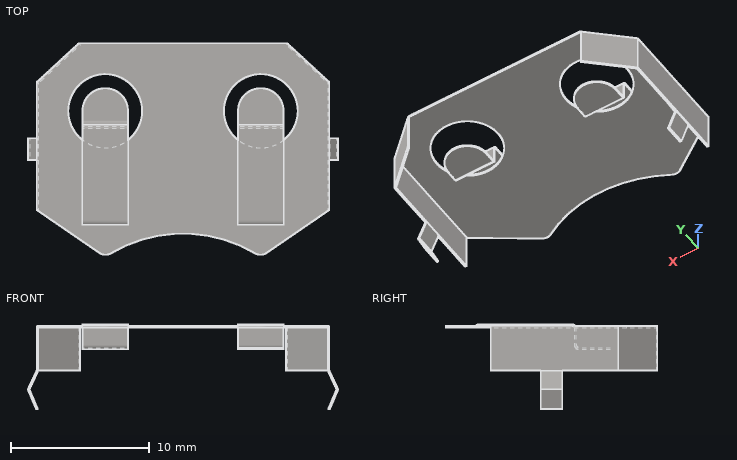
import cadquery as cq
import math

sheet = 0.127
depth = 15.24
leg_span = 22.35
plate_width = 21.08
back_edge_width = 15.0
corner_depth = 2.81
side_wall_end = 12.0

lobe_x = 5.6
lobe_point_y = -7.77
lobe_radius = 0.76
recess_depth = 1.53

wall_height = 3.22
bend_radius = 0.12

leg_width = 1.58
overall_height = 6.12
knee_drop = 1.36
foot_inset = 0.6

hole_diameter = 5.3
hole_y = 2.74

strap_width = 3.3
strap_front_y = -5.46
strap_bend_radius = 0.3
strap_front_radius = strap_bend_radius + sheet
drop_face_y = 1.76
tongue_bottom = -1.69

half_width = plate_width / 2
half_back = back_edge_width / 2
rear_y = depth / 2
corner_y = rear_y - corner_depth
front_corner_y = rear_y - side_wall_end
recess_y = -rear_y + recess_depth


def make_plate():
    """Flat plate with cut rear corners, two front lobes and two round holes."""
    plate = (
        cq.Workplane("XY")
        .moveTo(-half_back, rear_y)
        .lineTo(half_back, rear_y)
        .lineTo(half_width, corner_y)
        .lineTo(half_width, front_corner_y)
        .lineTo(lobe_x, lobe_point_y)
        .threePointArc((0, recess_y), (-lobe_x, lobe_point_y))
        .lineTo(-half_width, front_corner_y)
        .lineTo(-half_width, corner_y)
        .close()
        .extrude(-sheet)
    )
    for x in (-lobe_x, lobe_x):
        lobe_edge = cq.selectors.NearestToPointSelector((x, lobe_point_y, -sheet / 2))
        plate = plate.edges(lobe_edge).fillet(lobe_radius)
    holes = (
        cq.Workplane("XY")
        .pushPoints([(-lobe_x, hole_y), (lobe_x, hole_y)])
        .circle(hole_diameter / 2)
        .extrude(-sheet)
    )
    return plate.cut(holes)


def make_left_wall():
    """Left side wall that continues round the cut rear corner."""
    corner_length = math.hypot(half_width - half_back, corner_depth)
    inward_x = sheet * corner_depth / corner_length
    inward_y = sheet * (half_width - half_back) / corner_length
    inner_x = -half_width + sheet
    corner_slope = corner_depth / (half_width - half_back)
    inner_rear = (-half_back + inward_x, rear_y - inward_y)
    inner_corner_y = inner_rear[1] - corner_slope * (inner_rear[0] - inner_x)
    return (
        cq.Workplane("XY")
        .moveTo(-half_width, front_corner_y)
        .lineTo(-half_width, corner_y)
        .lineTo(-half_back, rear_y)
        .lineTo(*inner_rear)
        .lineTo(inner_x, inner_corner_y)
        .lineTo(inner_x, front_corner_y)
        .close()
        .extrude(-wall_height)
    )


def make_left_leg():
    """Bent leg below the left side wall: out to the knee, then back to the foot."""
    knee_x = -leg_span / 2
    knee_z = -wall_height - knee_drop
    foot_x = knee_x + foot_inset
    foot_z = sheet - overall_height
    return (
        cq.Workplane("XZ")
        .moveTo(-half_width, -wall_height)
        .lineTo(knee_x, knee_z)
        .lineTo(foot_x, foot_z)
        .lineTo(foot_x + sheet, foot_z)
        .lineTo(knee_x + sheet, knee_z)
        .lineTo(-half_width + sheet, -wall_height)
        .close()
        .extrude(leg_width / 2, both=True)
    )


def round_top_bends(body):
    """Round the outside bends between the plate and the walls."""
    for side in (-1, 1):
        wall_middle = (side * half_width, (corner_y + front_corner_y) / 2, 0)
        corner_middle = (side * (half_width + half_back) / 2, (corner_y + rear_y) / 2, 0)
        wall_bend = cq.selectors.NearestToPointSelector(wall_middle)
        corner_bend = cq.selectors.NearestToPointSelector(corner_middle)
        bends = wall_bend + corner_bend
        body = body.edges(bends).fillet(bend_radius)
    return body


def make_strap(x, inner_radius):
    """Strap lying on the plate, dropping through the hole to a round-ended tongue.

    inner_radius rounds the inside corner between drop and tongue; 0 leaves it sharp.
    """
    arc_reach = math.sqrt(2 * strap_front_radius * sheet - sheet**2)
    arc_half_angle = math.asin(arc_reach / strap_front_radius) / 2
    flat_start_y = strap_front_y + arc_reach
    arc_middle = (
        flat_start_y - strap_front_radius * math.sin(arc_half_angle),
        sheet - strap_front_radius * (1 - math.cos(arc_half_angle)),
    )
    tongue_top = tongue_bottom + sheet
    tongue_end_y = hole_y + strap_width / 2
    drop_front_y = drop_face_y - sheet
    profile = (
        cq.Workplane("YZ", origin=(x, 0, 0))
        .moveTo(strap_front_y, 0)
        .threePointArc(arc_middle, (flat_start_y, sheet))
        .lineTo(drop_face_y - strap_bend_radius, sheet)
        .radiusArc((drop_face_y, sheet - strap_bend_radius), strap_bend_radius)
        .lineTo(drop_face_y, tongue_top + inner_radius)
    )
    if inner_radius > 0:
        profile = profile.radiusArc((drop_face_y + inner_radius, tongue_top), -inner_radius)
    strap = (
        profile
        .lineTo(tongue_end_y, tongue_top)
        .lineTo(tongue_end_y, tongue_bottom)
        .lineTo(drop_front_y + strap_bend_radius, tongue_bottom)
        .radiusArc((drop_front_y, tongue_bottom + strap_bend_radius), strap_bend_radius)
        .lineTo(drop_front_y, -sheet)
        .lineTo(drop_front_y - sheet, 0)
        .close()
        .extrude(strap_width / 2, both=True)
    )
    outline = (
        cq.Workplane("XY", origin=(x, 0, tongue_bottom))
        .moveTo(-strap_width / 2, strap_front_y)
        .lineTo(-strap_width / 2, hole_y)
        .threePointArc((0, tongue_end_y), (strap_width / 2, hole_y))
        .lineTo(strap_width / 2, strap_front_y)
        .close()
        .extrude(sheet - tongue_bottom)
    )
    return strap.intersect(outline)


wall = make_left_wall()
leg = make_left_leg()
body = make_plate().union(wall).union(wall.mirror("YZ"))
body = round_top_bends(body)
body = body.union(leg).union(leg.mirror("YZ"))
body = body.union(make_strap(-lobe_x, strap_bend_radius))
result = body.union(make_strap(lobe_x, 0))